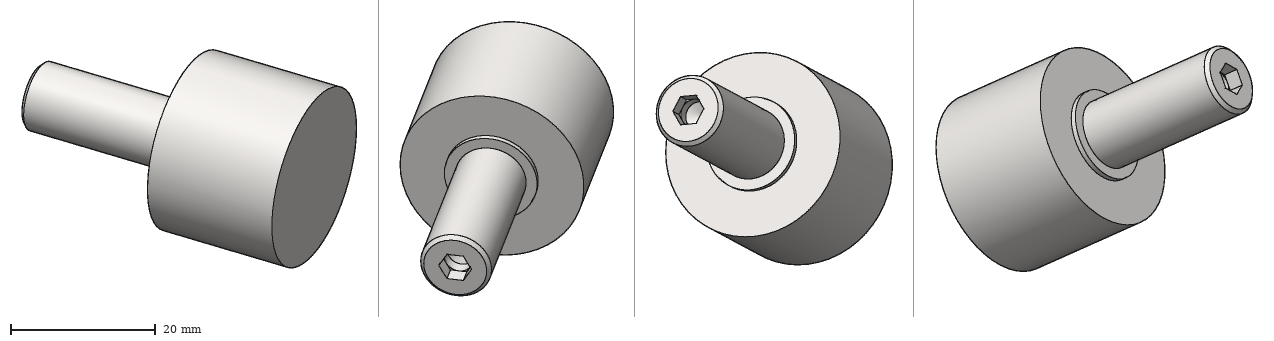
import cadquery as cq
import math

total_length = 43.0
roller_diameter = 26.0
roller_length = 19.25
collar_diameter = 13.1
collar_length = 0.77
shaft_diameter = 10.0
shaft_chamfer = 0.55

socket_across_flats = 4.0
socket_depth = 2.25
pilot_depth = 4.0
pilot_cone_angle = 120.0

shaft_end = -total_length / 2
roller_end = total_length / 2
roller_start = roller_end - roller_length
collar_start = roller_start - collar_length


def cylinder(diameter, start, end):
    """Round bar along X between two positions."""
    return cq.Workplane("YZ", origin=(start, 0, 0)).circle(diameter / 2).extrude(end - start)


def hex_socket():
    """Hexagonal recess with flats facing up and down."""
    across_corners = socket_across_flats / math.cos(math.pi / 6)
    return (
        cq.Workplane("YZ", origin=(shaft_end, 0, 0))
        .polygon(6, across_corners)
        .extrude(socket_depth)
    )


def pilot_hole():
    """Round hole as wide as the socket flats, with a conical bottom."""
    radius = socket_across_flats / 2
    cone_start = shaft_end + pilot_depth
    cone_height = radius / math.tan(math.radians(pilot_cone_angle / 2))
    cone = cq.Solid.makeCone(
        radius,
        0,
        cone_height,
        pnt=cq.Vector(cone_start, 0, 0),
        dir=cq.Vector(1, 0, 0),
    )
    return cylinder(socket_across_flats, shaft_end, cone_start).union(cq.Workplane(cone))


shaft = cylinder(shaft_diameter, shaft_end, collar_start).faces("<X").chamfer(shaft_chamfer)
collar = cylinder(collar_diameter, collar_start, roller_start)
roller = cylinder(roller_diameter, roller_start, roller_end)

result = shaft.union(collar).union(roller).cut(hex_socket()).cut(pilot_hole())